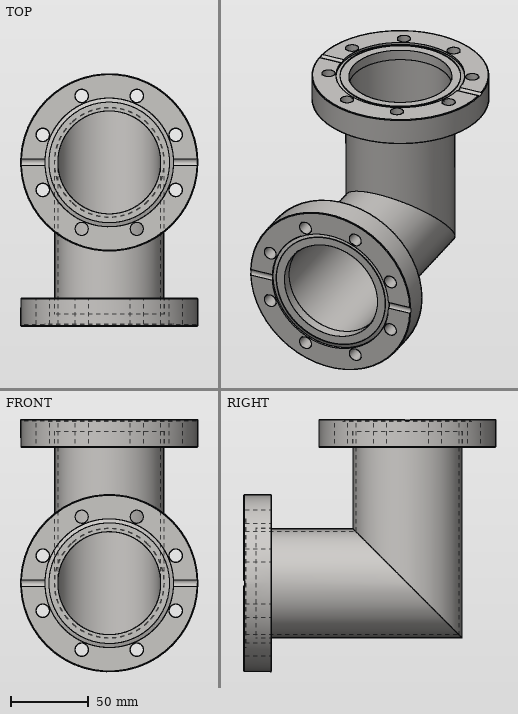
import cadquery as cq

overall_size = 161.8
flange_diameter = 113.5
flange_radius = flange_diameter / 2
face_distance = overall_size - flange_radius
flange_thickness = 18.0
edge_chamfer = 0.5

bore_diameter = 66.0
tube_diameter = 70.0
socket_diameter = 70.5
socket_face_depth = 8.0
tube_length = face_distance - socket_face_depth

recess_diameter = 82.5
knife_diameter = 77.3
recess_depth = 1.5
knife_tip_depth = 0.5
land_depth = 1.0

bolt_count = 8
bolt_hole_diameter = 8.4
bolt_circle_diameter = 92.2
bolt_pitch_angle = 360 / bolt_count

groove_width = 4.2
groove_depth = 1.0
groove_radius = ((groove_width / 2) ** 2 + groove_depth**2) / (2 * groove_depth)


def to_front_port(body):
    """Turn a body built on the +Z port to the -Y port."""
    return body.rotate((0, 0, 0), (1, 0, 0), 90)


def sealing_recess():
    """Material removed around the bore, leaving the knife edge standing."""
    return (
        cq.Workplane("XZ")
        .moveTo(0, face_distance)
        .lineTo(recess_diameter / 2, face_distance)
        .lineTo(recess_diameter / 2, face_distance - recess_depth)
        .lineTo(knife_diameter / 2, face_distance - knife_tip_depth)
        .lineTo(knife_diameter / 2, face_distance - land_depth)
        .lineTo(0, face_distance - land_depth)
        .close()
        .revolve(360, (0, 0, 0), (0, 1, 0))
    )


def bolt_holes():
    first_angle = bolt_pitch_angle / 2
    return (
        cq.Workplane("XY", origin=(0, 0, face_distance - flange_thickness))
        .polarArray(bolt_circle_diameter / 2, first_angle, 360, bolt_count)
        .circle(bolt_hole_diameter / 2)
        .extrude(flange_thickness)
    )


def leak_check_grooves():
    """One cylinder along X cuts a groove on each side of the recess."""
    axis_height = face_distance + groove_radius - groove_depth
    cylinder = (
        cq.Workplane("YZ", origin=(-flange_radius, 0, axis_height))
        .circle(groove_radius)
        .extrude(flange_diameter)
    )
    inside_recess = (
        cq.Workplane("XY", origin=(0, 0, face_distance - flange_thickness))
        .circle(recess_diameter / 2)
        .extrude(2 * flange_thickness)
    )
    return cylinder.cut(inside_recess)


def make_flange():
    back_height = face_distance - flange_thickness
    flange = (
        cq.Workplane("XY", origin=(0, 0, back_height))
        .circle(flange_radius)
        .extrude(flange_thickness)
        .edges()
        .chamfer(edge_chamfer)
    )
    bore = (
        cq.Workplane("XY", origin=(0, 0, back_height))
        .circle(bore_diameter / 2)
        .extrude(flange_thickness)
    )
    socket = (
        cq.Workplane("XY", origin=(0, 0, back_height))
        .circle(socket_diameter / 2)
        .extrude(flange_thickness - socket_face_depth)
    )
    for cutter in (bore, socket, sealing_recess(), bolt_holes(), leak_check_grooves()):
        flange = flange.cut(cutter)
    return flange


def make_tube():
    """Tube along +Z, mitred on the plane z = -y that both tubes share."""
    tube_radius = tube_diameter / 2
    blank = (
        cq.Workplane("XY", origin=(0, 0, -tube_radius))
        .circle(tube_radius)
        .circle(bore_diameter / 2)
        .extrude(tube_length + tube_radius)
    )
    below_mitre = (
        cq.Workplane("YZ")
        .polyline([
            (-tube_diameter, -tube_diameter),
            (tube_diameter, -tube_diameter),
            (-tube_diameter, tube_diameter),
        ])
        .close()
        .extrude(tube_radius, both=True)
    )
    return blank.cut(below_mitre)



top_flange = make_flange()
front_flange = to_front_port(top_flange)

top_tube = make_tube()
front_tube = to_front_port(top_tube).mirror("XY")

result = cq.Compound.makeCompound([
    top_flange.val(),
    front_flange.val(),
    top_tube.val(),
    front_tube.val(),
])